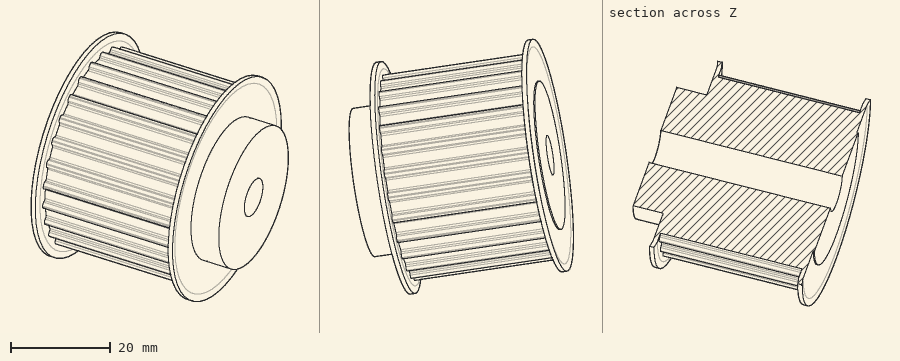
import cadquery as cq
import math


total_length = 38.0
hub_radius = 15.05
bore_radius = 4.0

flange_radius = 23.5
flange_bend_radius = 22.0
flange_thickness = 1.0
flange_dish = 0.265
flange_overall_width = 32.0

tooth_count = 27
tip_radius = 20.85
tooth_depth = 1.1
tip_half_width = 0.6
root_half_width = 1.0
tip_fillet = 0.7
root_fillet = 0.405
root_radius = tip_radius - tooth_depth
pitch_angle = 2 * math.pi / tooth_count


def polar_point(radius, angle):
    return radius * math.cos(angle), radius * math.sin(angle)


def tooth_outline():
    """Sharp-cornered outline of all the teeth, one of them centred on +Z."""
    tip_half_angle = math.asin(tip_half_width / tip_radius)
    root_half_angle = math.asin(root_half_width / root_radius)
    first_tooth = math.pi / 2

    start = polar_point(root_radius, first_tooth - root_half_angle)
    outline = cq.Workplane("YZ").moveTo(*start)
    for index in range(tooth_count):
        tooth = first_tooth + index * pitch_angle
        groove = tooth + pitch_angle / 2
        next_tooth = tooth + pitch_angle
        outline = outline.lineTo(*polar_point(tip_radius, tooth - tip_half_angle))
        outline = outline.threePointArc(
            polar_point(tip_radius, tooth),
            polar_point(tip_radius, tooth + tip_half_angle),
        )
        outline = outline.lineTo(*polar_point(root_radius, tooth + root_half_angle))
        outline = outline.threePointArc(
            polar_point(root_radius, groove),
            polar_point(root_radius, next_tooth - root_half_angle),
        )
    return outline.close()


def make_teeth(start_x, end_x):
    """Toothed drum between two x positions, rounded along its tooth tips and roots."""
    middle_radius = root_radius + tooth_depth / 2

    def is_tip(edge):
        return math.hypot(edge.Center().y, edge.Center().z) > middle_radius

    def is_root_corner(edge):
        return math.isclose(math.hypot(edge.Center().y, edge.Center().z), root_radius, rel_tol=1e-4)

    drum = tooth_outline().extrude(end_x - start_x).translate((start_x, 0, 0))
    drum = drum.edges("|X").filter(is_root_corner).fillet(root_fillet)
    return drum.edges("|X").filter(is_tip).fillet(tip_fillet)


def make_flange():
    """Dished flange with its rim starting at x = 0 and its flat centre set in towards +X."""
    profile = [
        (flange_dish, 0),
        (flange_dish, flange_bend_radius),
        (0, flange_radius),
        (flange_thickness, flange_radius),
        (flange_dish + flange_thickness, flange_bend_radius),
        (flange_dish + flange_thickness, 0),
    ]
    return cq.Workplane("XY").polyline(profile).close().revolve(360, (0, 0, 0), (1, 0, 0))


outer_flange = make_flange()
inner_flange = outer_flange.mirror("YZ").translate((flange_overall_width, 0, 0))

drum_start = flange_dish + flange_thickness
teeth = make_teeth(drum_start, flange_overall_width - drum_start)

hub = cq.Workplane("YZ").circle(hub_radius).extrude(total_length)
bore = cq.Workplane("YZ").circle(bore_radius).extrude(total_length)

result = teeth.union(outer_flange).union(inner_flange).union(hub).cut(bore)